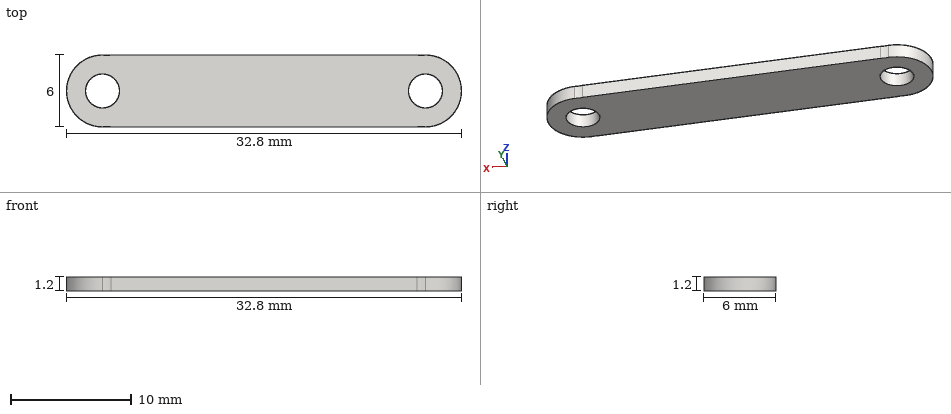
import cadquery as cq

overall_length = 32.83
width = 6.0
thickness = 1.2
hole_diameter = 2.8
dip_length = 0.7
dip_depth = 0.025

end_radius = width / 2
end_centre_x = (overall_length - width) / 2


def half_outline(sketch, side):
    """Continue the outline from one rounded end along a long edge and around the other end.

    side is -1 for the -Y edge, run toward +X, and +1 for the +Y edge, run toward -X.
    A shallow concave dip lies just inboard of each rounded end.
    """
    edge_y = side * end_radius
    dip_y = edge_y - side * dip_depth
    start_x = side * end_centre_x
    dip_step = -side * dip_length
    return (
        sketch
        .threePointArc((start_x + dip_step / 2, dip_y), (start_x + dip_step, edge_y))
        .lineTo(-start_x - dip_step, edge_y)
        .threePointArc((-start_x - dip_step / 2, dip_y), (-start_x, edge_y))
        .threePointArc((-start_x - side * end_radius, 0), (-start_x, -edge_y))
    )


def link_plate():
    """Flat plate with full-round ends, centred on the Z axis and resting on Z = 0."""
    outline = cq.Workplane("XY").moveTo(-end_centre_x, -end_radius)
    for side in (-1, 1):
        outline = half_outline(outline, side)
    return outline.close().extrude(thickness)


def cut_end_holes(plate):
    """Through hole at the centre of each rounded end."""
    hole_centres = [(-end_centre_x, 0), (end_centre_x, 0)]
    return plate.faces(">Z").workplane(origin=(0, 0, 0)).pushPoints(hole_centres).hole(hole_diameter)


result = cut_end_holes(link_plate())